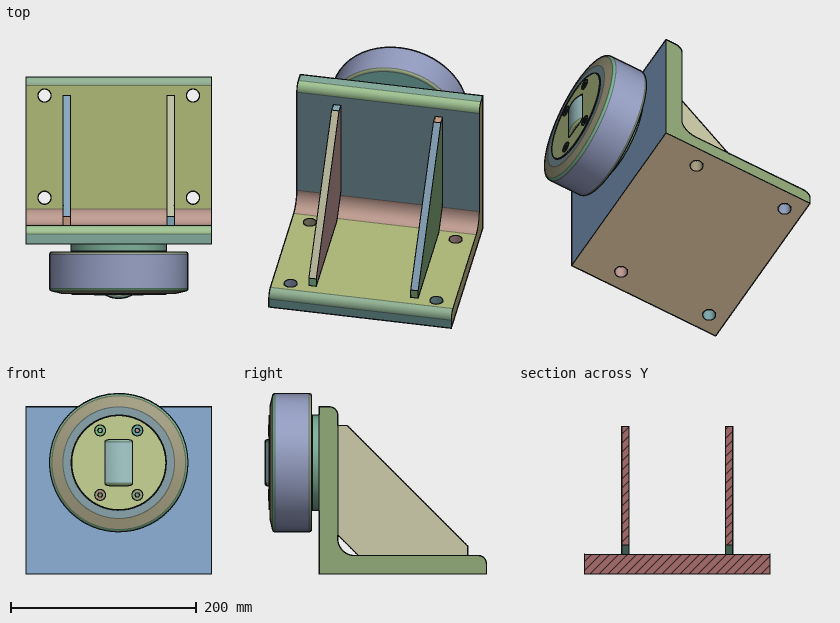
import cadquery as cq
import math

bracket_width = 200.0
bracket_leg = 180.0
wall = 20.0
inner_radius = 18.0
end_radius = 9.0

rib_thickness = 8.0
rib_offset_x = 55.8
rib_reach = 160.0
rib_edge = 30.0
rib_corner_relief = 22.0

hole_diameter = 13.8
hole_offset_x = 80.0
hole_front_y = 50
hole_rear_y = rib_reach

overall_height = 194.4
roller_diameter = 149.0
roller_radius = roller_diameter / 2
roller_axis_z = overall_height - roller_radius
neck_diameter = 103.0
neck_front = 7.5
spigot_diameter = 101.4
roller_back = 8.0
rim_round = 2.9
rim_front = 50.3
rim_front_radius = 72.0
roller_front = 53.2
roller_face_radius = 60.0

cover_diameter = 101.4
cover_bore = 102.5
cover_front = 54.1
groove_depth = 2.5

screw_diameter = 11.7
screw_front = 54.9
screw_circle_radius = 40.0
screw_angle = 60
socket_sides = 6
socket_size = 5.2
socket_depth = 2.5

pad_width = 30.0
pad_height = 49.8
pad_front = 58.5
pad_end_round = 2.9
pad_root = 2.5


def side_outline(offset_x):
    """Sketch plane across X, with local axes Y and Z."""
    return cq.Workplane("YZ", origin=(offset_x, 0, 0))


def facing_front(distance):
    """Sketch plane on the roller axis, facing -Y, with local axes X and Z."""
    return cq.Workplane("XZ", origin=(0, -distance, roller_axis_z))


def disc(diameter, start, end):
    return facing_front(start).circle(diameter / 2).extrude(end - start)


def make_bracket():
    body = (
        side_outline(-bracket_width / 2)
        .polyline([(0, 0), (bracket_leg, 0), (bracket_leg, wall),
                   (wall, wall), (wall, bracket_leg), (0, bracket_leg)])
        .close()
        .extrude(bracket_width)
    )

    def round_edge(solid, y, z, radius):
        selector = cq.selectors.NearestToPointSelector((0, y, z))
        return solid.edges("|X").edges(selector).fillet(radius)

    body = round_edge(body, wall, wall, inner_radius)
    body = round_edge(body, bracket_leg, wall, end_radius)
    body = round_edge(body, wall, bracket_leg, end_radius)
    holes = (
        cq.Workplane("XY")
        .pushPoints([(x, y) for x in (-hole_offset_x, hole_offset_x)
                     for y in (hole_front_y, hole_rear_y)])
        .circle(hole_diameter / 2)
        .extrude(wall)
    )
    return body.cut(holes)


def make_rib(center_x):
    relief_end = wall + rib_corner_relief
    return (
        side_outline(center_x - rib_thickness / 2)
        .polyline([(relief_end, wall), (rib_reach, wall), (rib_reach, rib_edge),
                   (rib_edge, rib_reach), (wall, rib_reach), (wall, relief_end)])
        .close()
        .extrude(rib_thickness)
    )


def make_roller():
    round_mid = rim_round * (1 - math.sqrt(0.5))
    section = (
        cq.Workplane("XY")
        .moveTo(0, -roller_back)
        .lineTo(roller_radius - rim_round, -roller_back)
        .threePointArc((roller_radius - round_mid, -roller_back - round_mid),
                       (roller_radius, -roller_back - rim_round))
        .lineTo(roller_radius, -rim_front + rim_round)
        .threePointArc((roller_radius - round_mid, -rim_front + round_mid),
                       (rim_front_radius, -rim_front))
        .lineTo(roller_face_radius, -roller_front)
        .lineTo(0, -roller_front)
        .close()
    )
    roller = section.revolve(360, (0, 0, 0), (0, 1, 0)).translate((0, 0, roller_axis_z))
    roller = roller.cut(disc(cover_bore, roller_front - groove_depth, roller_front))
    return (
        roller
        .union(disc(neck_diameter, 0, neck_front))
        .union(disc(spigot_diameter, neck_front, roller_back))
        .union(disc(cover_diameter, roller_front - groove_depth, cover_front))
    )


def add_screws(body):
    spread_x = screw_circle_radius * math.cos(math.radians(screw_angle))
    spread_z = screw_circle_radius * math.sin(math.radians(screw_angle))
    centers = [(x, z) for x in (-spread_x, spread_x) for z in (-spread_z, spread_z)]
    heads = (
        facing_front(cover_front)
        .pushPoints(centers)
        .circle(screw_diameter / 2)
        .extrude(screw_front - cover_front)
    )
    sockets = (
        facing_front(screw_front - socket_depth)
        .pushPoints(centers)
        .polygon(socket_sides, socket_size)
        .extrude(socket_depth)
    )
    return body.union(heads).cut(sockets)


def make_pad():
    rise = pad_front - cover_front
    crown_radius = ((pad_width / 2) ** 2 + rise ** 2) / (2 * rise)
    crown_center = pad_front - crown_radius
    pad = (
        cq.Workplane("XY", origin=(0, -crown_center, roller_axis_z - pad_height / 2))
        .circle(crown_radius)
        .extrude(pad_height)
        .edges()
        .fillet(pad_end_round)
    )
    keep = facing_front(cover_front - pad_root).rect(pad_width, pad_height).extrude(pad_root + rise)
    return pad.intersect(keep)


result = make_bracket()
for rib_x in (-rib_offset_x, rib_offset_x):
    result = result.union(make_rib(rib_x))
result = result.union(make_roller())
result = add_screws(result).union(make_pad())